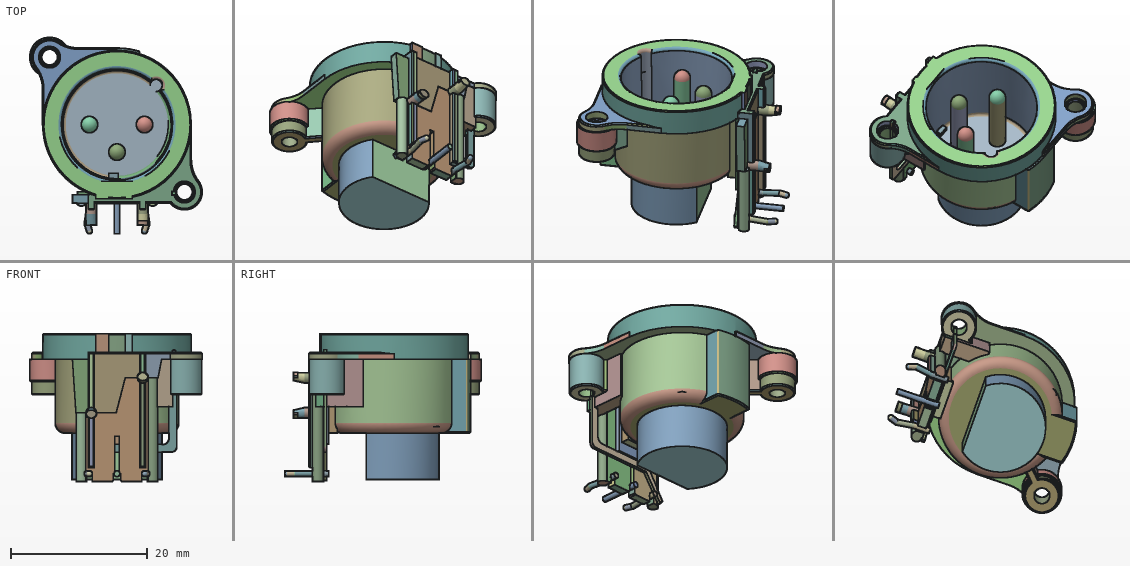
import cadquery as cq
import math


rim_top = 21.7
flange_top = 18.92
flange_bottom = 17.9
ear_bottom = 12.7
boss_step = 14.63
cup_bottom = 7.08
plug_bottom = 0.3
rib_bottom = 2.02

rim_radius = 10.9
rim_chamfer = 0.17
rim_tab_left = -3.1
rim_tab_right = 2.22
rim_gap_half_width = 1.2
cup_radius = 9.07
cup_fillet = 1.5
bore_top_radius = 8.15
bore_floor_radius = 7.92
bore_fillet = 0.4
floor_thickness = 0.98
bore_floor = cup_bottom + floor_thickness
lip_radius = 0.43
lip_flat_y = -8.3
key_offset = 5.73
key_radius = 0.9
floor_tab_left = -1.25
floor_tab_width = 1.45
floor_tab_depth = 1.15
floor_tab_height = 0.58

pin_radius = 1.2
pin_dome_center = 19.0
pin_spread = 4.03
pin_places = [(-pin_spread, 0), (pin_spread, 0), (0, -pin_spread)]
plug_radius = 6.62
plug_flat_y = -4.1

ear_offset = 9.88
ear_radius = 2.62
boss_radius = 2.9
front_foot_radius = 2.55
ear_chamfer = 0.2
side_edge = 10.92
back_edge = 11.23
edge_blend = 5.05
screw_hole_radius = 1.15
counterbore_radius = 1.58
counterbore_depth = 1.07
screw_hole_chamfer = 0.2
link_width = 1.32
link_chamfer = 0.2
back_block_half_width = 3.3
back_block_fillet = 0.23
back_block_chamfer = 0.2

wall_back = -10.28
wall_front = -11.52
lower_wall_front = -11.58
web_back = -9.55
web_bottom = 5.47
wall_half_width = 4.23
web_half_width = 3.45
web_core_half_width = 2.88
left_step = 10.08
right_step = 15.2
step_left_x = -0.12
step_right_x = 1.2
leg_x = 5.2
leg_y = -11.17
leg_radius = 0.78
wedge_bottom_x = 6.02
wedge_top_x = 6.55
side_block_left = 5.85
side_block_right = 8.2
side_block_bottom = 10.97
side_block_front = -11.45
rib_x = 3.77
rib_width = 0.92
rib_front = -12.5
rib_chamfer = 0.2
slot_width = 0.63
slot_top = 6.62
tail_notch_width = 0.78
center_notch_width = 1.05
center_notch_chamfer = 0.2

peg_radius = 0.78
peg_taper_start = -13.13
peg_tip = -14.75
peg_taper = 0.37
barb_radius = 0.84
barb_start = -14.1
tail_radius = 0.43
tail_z = 1.15
tail_x = 4.03
tail_tip = -16.0
tail_bend_x = 4.38
tail_bend_start = -12.1
tail_bend_end = -14.55

contact_back = -9.82
contact_front = wall_back
contact_outer_x = 8.78
contact_width = 1.18
contact_clearance = 0.05
contact_bar_bottom = 4.32
contact_bar_top = 5.45
contact_outer_round = 0.8
contact_inner_round = 0.92
contact_tip_left = 8.05
contact_tip_right = 8.65
contact_tip_top = 19.3
contact_end_x = -5.82
contact_end_top = 0.7
contact_slope_x = -2.76
contact_end_bottom = 0.15
contact_end_bottom_x = -5.35
contact_slope_bottom_x = -2.42


def block(x0, x1, y0, y1, z0, z1):
    """Box between two corners."""
    return cq.Workplane("XY").box(x1 - x0, y1 - y0, z1 - z0, centered=False).translate((x0, y0, z0))


def disc(x, y, radius, z0, z1):
    """Upright cylinder between two heights."""
    return cq.Workplane("XY").workplane(offset=z0).center(x, y).circle(radius).extrude(z1 - z0)


def wall_panel(outline, back, front):
    """Upright panel from an (X, Z) outline, between two depths along Y."""
    return cq.Workplane("XZ", origin=(0, back, 0)).polyline(outline).close().extrude(back - front)


def rod(x, z, radius, back, front):
    """Cylinder along -Y."""
    return cq.Workplane("XZ", origin=(x, back, z)).circle(radius).extrude(back - front)


def ear_reach(edge):
    """Distance along a straight edge from the ear center to the start of the concave blend."""
    return math.sqrt((ear_radius + edge_blend) ** 2 - (edge - ear_offset + edge_blend) ** 2)


def ear_touch(edge):
    """Offsets (across, along) from the ear center to the point where the blend meets the ear."""
    share = ear_radius / (ear_radius + edge_blend)
    return (edge - ear_offset + edge_blend) * share, ear_reach(edge) * share


def flange_piece(outline):
    height = flange_top - flange_bottom
    return outline.close().extrude(height).faces(">Z").edges().chamfer(ear_chamfer)


def rear_flange():
    across, along = ear_touch(side_edge)
    back_across, back_along = ear_touch(back_edge)
    diagonal = ear_radius / math.sqrt(2)
    return flange_piece(
        cq.Workplane("XY", origin=(0, 0, flange_bottom))
        .lineTo(-side_edge, 0)
        .lineTo(-side_edge, ear_offset - ear_reach(side_edge))
        .tangentArcPoint((-ear_offset - across, ear_offset - along), relative=False)
        .threePointArc(
            (-ear_offset - diagonal, ear_offset + diagonal),
            (-ear_offset + back_along, ear_offset + back_across),
        )
        .tangentArcPoint((-ear_offset + ear_reach(back_edge), back_edge), relative=False)
        .lineTo(0, back_edge)
    )


def front_flange():
    across, along = ear_touch(side_edge)
    diagonal = ear_radius / math.sqrt(2)
    corner_x = ear_offset - math.sqrt(ear_radius**2 - (ear_offset + wall_front) ** 2)
    return flange_piece(
        cq.Workplane("XY", origin=(0, 0, flange_bottom))
        .lineTo(side_edge, 0)
        .lineTo(side_edge, -ear_offset + ear_reach(side_edge))
        .tangentArcPoint((ear_offset + across, -ear_offset + along), relative=False)
        .threePointArc((ear_offset + diagonal, -ear_offset - diagonal), (corner_x, wall_front))
        .lineTo(-wall_half_width, wall_front)
        .lineTo(-wall_half_width, 0)
    )


def ear_link(angle):
    """Radial rib joining a screw ear to the cup."""
    reach = ear_offset * math.sqrt(2)
    rib = block(cup_radius - 0.3, reach, -link_width / 2, link_width / 2, ear_bottom, flange_bottom)
    rib = rib.faces("<Z").edges("|X").chamfer(link_chamfer)
    return rib.rotate((0, 0, 0), (0, 0, 1), angle)


def ears():
    rear = disc(-ear_offset, ear_offset, boss_radius, boss_step, flange_bottom)
    rear = rear.faces("<Z").edges().chamfer(ear_chamfer)
    rear_foot = disc(-ear_offset, ear_offset, ear_radius, ear_bottom, flange_bottom)
    front_foot = disc(ear_offset, -ear_offset, front_foot_radius, ear_bottom, flange_bottom)
    body = rear.union(rear_foot.faces("<Z").edges().chamfer(ear_chamfer))
    body = body.union(front_foot.faces("<Z").edges().chamfer(ear_chamfer))
    body = body.union(rear_flange()).union(front_flange())
    return body.union(ear_link(135)).union(ear_link(-45))


def screw_holes():
    ledge = flange_top - counterbore_depth
    mouth_radius = screw_hole_radius + screw_hole_chamfer
    cutter = cq.Workplane("XY")
    for side in (-1, 1):
        x, y = side * ear_offset, -side * ear_offset
        mouth_base = cq.Vector(x, y, ledge - screw_hole_chamfer)
        cutter = cutter.add(disc(x, y, screw_hole_radius, ear_bottom, flange_top))
        mouth = cq.Solid.makeCone(screw_hole_radius, mouth_radius, screw_hole_chamfer, mouth_base)
        cutter = cutter.add(mouth)
        cutter = cutter.add(disc(x, y, counterbore_radius, ledge, flange_top))
    return cutter.combine()


def contact_window():
    """Recess in the front ear that clears the tip of the ground contact."""
    return block(
        contact_tip_left - contact_clearance,
        ear_offset,
        contact_front - contact_clearance,
        contact_back + contact_clearance,
        flange_top - counterbore_depth,
        flange_top,
    )


def cup():
    rim = disc(0, 0, rim_radius, flange_bottom, rim_top).faces(">Z").edges().chamfer(rim_chamfer)
    for left, right in ((rim_tab_left, -rim_gap_half_width), (rim_gap_half_width, rim_tab_right)):
        rim = rim.union(block(left, right, -rim_radius, lip_flat_y, flange_bottom, rim_top))
    shell = disc(0, 0, cup_radius, cup_bottom, flange_bottom).faces("<Z").edges().fillet(cup_fillet)
    half_width = back_block_half_width
    back_block = disc(0, 0, back_edge, cup_bottom, flange_bottom).intersect(
        block(-half_width, half_width, plug_radius, back_edge, cup_bottom, flange_bottom)
    )
    back_block = back_block.edges("|Z").edges(">Y").fillet(back_block_fillet)
    back_block = back_block.faces("<Z").edges().chamfer(back_block_chamfer)
    plug = disc(0, 0, plug_radius, plug_bottom, cup_bottom + floor_thickness / 2).intersect(
        block(-plug_radius, plug_radius, plug_flat_y, plug_radius, plug_bottom, bore_floor)
    )
    return rim.union(shell).union(back_block).union(plug)


def rounded_mouth(radius):
    """Cutter that rounds the upper edge of a round hole."""
    return (
        cq.Workplane("XZ")
        .moveTo(0, rim_top - lip_radius)
        .lineTo(radius, rim_top - lip_radius)
        .radiusArc((radius + lip_radius, rim_top), lip_radius)
        .lineTo(0, rim_top)
        .close()
        .revolve(360, (0, 0, 0), (0, 1, 0))
    )


def bore():
    turn = bore_fillet * math.sqrt(0.5)
    fillet_center = (bore_floor_radius - bore_fillet, bore_floor + bore_fillet)
    main = (
        cq.Workplane("XZ")
        .moveTo(0, bore_floor)
        .lineTo(fillet_center[0], bore_floor)
        .threePointArc(
            (fillet_center[0] + turn, fillet_center[1] - turn),
            (bore_floor_radius, fillet_center[1]),
        )
        .lineTo(bore_top_radius, rim_top)
        .lineTo(0, rim_top)
        .close()
        .revolve(360, (0, 0, 0), (0, 1, 0))
    )
    mouth = rounded_mouth(bore_top_radius).intersect(
        block(-rim_radius, rim_radius, lip_flat_y, rim_radius, bore_floor, rim_top)
    )
    key = disc(key_offset, key_offset, key_radius, bore_floor, rim_top)
    key_mouth = rounded_mouth(key_radius).translate((key_offset, key_offset, 0))
    return main.union(mouth).union(key).union(key_mouth)


def pin(x, y):
    """Round-ended contact pin standing on the bore floor."""
    shaft = disc(x, y, pin_radius, cup_bottom, pin_dome_center)
    return shaft.union(cq.Workplane("XY").sphere(pin_radius).translate((x, y, pin_dome_center)))


def wedge(side, bottom):
    """Upper wall panel on one side, with a tapered outer edge above the leg."""
    outline = [
        (step_right_x, bottom),
        (side * wedge_bottom_x, bottom),
        (side * wedge_top_x, flange_bottom),
        (step_right_x, flange_bottom),
    ]
    return wall_panel(outline, wall_back, wall_front)


def rib(x):
    left = x - rib_width / 2
    bar = block(left, left + rib_width, rib_front, wall_back, rib_bottom, flange_top)
    return bar.faces("<Y").edges().chamfer(rib_chamfer)


def peg(x, z, taper_side):
    """Locating peg, tapered on one side (1 above, -1 below) and barbed on the other."""
    root = rod(x, z, peg_radius, wall_back, peg_taper_start)
    tip = (
        cq.Workplane("XZ", origin=(x, peg_taper_start, z))
        .ellipse(peg_radius, peg_radius)
        .workplane(offset=peg_taper_start - peg_tip)
        .center(0, -taper_side * peg_taper / 2)
        .ellipse(peg_radius, peg_radius - peg_taper / 2)
        .loft()
    )
    barb_z = z - taper_side * barb_radius
    barb_space = block(x - peg_radius, x + peg_radius, peg_tip, barb_start, min(z, barb_z), max(z, barb_z))
    barb = rod(x, z, barb_radius, barb_start, peg_tip).intersect(barb_space)
    return root.union(tip).union(barb)


def bent_tail(side):
    """Round board tail with an outward bend and a ball tip."""
    corners = [
        (side * tail_x, web_back),
        (side * tail_x, tail_bend_start),
        (side * tail_bend_x, tail_bend_end),
        (side * tail_x, tail_tip + tail_radius),
    ]
    wire = cq.Workplane("XY")
    for start, end in zip(corners, corners[1:]):
        begin = cq.Vector(*start, tail_z)
        run = cq.Vector(*end, tail_z) - begin
        wire = wire.add(cq.Solid.makeCylinder(tail_radius, run.Length, begin, run))
    for x, y in corners[1:]:
        wire = wire.add(cq.Workplane("XY").sphere(tail_radius).translate((x, y, tail_z)))
    return wire.combine()


def wall_notches():
    center_half = center_notch_width / 2
    center = wall_panel(
        [
            (-center_half - center_notch_chamfer, 0),
            (-center_half, center_notch_chamfer),
            (-center_half, tail_z),
            (center_half, tail_z),
            (center_half, center_notch_chamfer),
            (center_half + center_notch_chamfer, 0),
        ],
        web_back,
        rib_front,
    )
    cutter = center.union(block(-slot_width / 2, slot_width / 2, rib_front, web_back, tail_z, slot_top))
    for side in (-1, 1):
        left = side * tail_x - tail_notch_width / 2
        cutter = cutter.union(block(left, left + tail_notch_width, rib_front, web_back, 0, tail_z))
    return cutter


def front_wall():
    lower_outline = [
        (-leg_x, 0),
        (-leg_x, left_step),
        (step_left_x, left_step),
        (step_right_x, right_step),
        (leg_x, right_step),
        (leg_x, 0),
    ]
    body = wall_panel(lower_outline, wall_back, lower_wall_front)
    body = body.union(wedge(-1, left_step)).union(wedge(1, right_step))
    body = body.union(disc(-leg_x, leg_y, leg_radius, 0, left_step))
    body = body.union(disc(leg_x, leg_y, leg_radius, 0, right_step))
    body = body.cut(wall_notches())
    web = block(-web_half_width, web_half_width, wall_back, web_back, web_bottom, flange_bottom)
    core = web_core_half_width
    web_core = block(-core, core, web_back, lip_flat_y, cup_bottom, flange_bottom)
    side_block_back = -cup_radius / 2
    side_block = block(
        side_block_left,
        side_block_right,
        side_block_front,
        side_block_back,
        side_block_bottom,
        flange_bottom,
    )
    body = body.union(web).union(web_core).union(side_block)
    body = body.union(rib(-rib_x)).union(rib(rib_x))
    body = body.union(peg(-rib_x, left_step, 1)).union(peg(rib_x, right_step, -1))
    body = body.union(rod(0, tail_z, tail_radius, web_back, tail_tip))
    return body.union(bent_tail(-1)).union(bent_tail(1))


def ground_contact():
    inner_x = contact_outer_x - contact_width
    inner_turn = contact_inner_round * (1 - math.sqrt(0.5))
    outer_turn = contact_outer_round * (1 - math.sqrt(0.5))
    tip_radius = (contact_tip_right - contact_tip_left) / 2
    return (
        cq.Workplane("XZ", origin=(0, contact_back, 0))
        .moveTo(contact_slope_x, contact_bar_top)
        .lineTo(inner_x - contact_inner_round, contact_bar_top)
        .threePointArc(
            (inner_x - inner_turn, contact_bar_top + inner_turn),
            (inner_x, contact_bar_top + contact_inner_round),
        )
        .lineTo(inner_x, ear_bottom)
        .lineTo(contact_tip_left, ear_bottom)
        .lineTo(contact_tip_left, contact_tip_top - tip_radius)
        .threePointArc(
            (contact_tip_left + tip_radius, contact_tip_top),
            (contact_tip_right, contact_tip_top - tip_radius),
        )
        .lineTo(contact_tip_right, ear_bottom)
        .lineTo(contact_outer_x, ear_bottom)
        .lineTo(contact_outer_x, contact_bar_bottom + contact_outer_round)
        .threePointArc(
            (contact_outer_x - outer_turn, contact_bar_bottom + outer_turn),
            (contact_outer_x - contact_outer_round, contact_bar_bottom),
        )
        .lineTo(contact_slope_bottom_x, contact_bar_bottom)
        .lineTo(contact_end_bottom_x, contact_end_bottom)
        .lineTo(contact_end_x, contact_end_top)
        .close()
        .extrude(contact_back - contact_front)
    )


def make_housing(contact):
    body = cup().union(ears()).union(front_wall()).cut(bore()).cut(screw_holes()).cut(contact_window())
    for x, y in pin_places:
        body = body.union(pin(x, y))
    floor_tab = block(
        floor_tab_left,
        floor_tab_left + floor_tab_width,
        lip_flat_y,
        lip_flat_y + floor_tab_depth,
        cup_bottom + floor_thickness / 2,
        bore_floor + floor_tab_height,
    )
    return body.union(floor_tab).cut(contact)


contact = ground_contact()
housing = make_housing(contact)

result = cq.Compound.makeCompound([housing.val(), contact.val()])